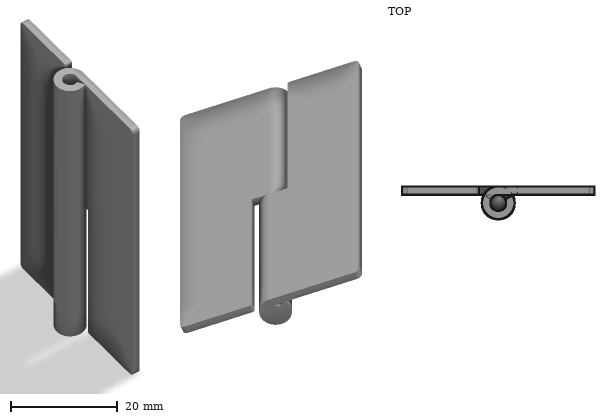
import cadquery as cq
import math

hinge_height = 65.0
hinge_width = 36.0
knuckle_diameter = 6.2
pin_diameter = 3.0
knuckle_gap = 0.5
outer_corner_radius = 1.0
inner_corner_radius = 0.4
curl_end_angle = 28.0
pin_top_clearance = 6.5

half_height = hinge_height / 2
half_width = hinge_width / 2
knuckle_radius = knuckle_diameter / 2
pin_radius = pin_diameter / 2
leaf_thickness = knuckle_radius - pin_radius
plate_inner_x = knuckle_radius + knuckle_gap


def polar(radius, angle):
    """Point at the given radius and angle in degrees."""
    return radius * math.cos(math.radians(angle)), radius * math.sin(math.radians(angle))


def make_curl():
    """Upper knuckle: a strip leaving the plate and rolled around the pin."""
    middle_angle = (90 + curl_end_angle + 360) / 2
    return (
        cq.Workplane("XY")
        .moveTo(plate_inner_x, knuckle_radius)
        .lineTo(0, knuckle_radius)
        .threePointArc(polar(knuckle_radius, middle_angle), polar(knuckle_radius, curl_end_angle))
        .lineTo(*polar(pin_radius, curl_end_angle))
        .threePointArc(polar(pin_radius, middle_angle), (0, pin_radius))
        .lineTo(plate_inner_x, pin_radius)
        .close()
        .extrude(half_height)
    )


def make_plate():
    """Full-height flat plate on the +X side, rounded at its three free corners."""
    plate = cq.Workplane("XY").box(
        half_width - plate_inner_x, leaf_thickness, hinge_height, centered=(False, False, True)
    ).translate((plate_inner_x, pin_radius, 0))
    plate = plate.edges("|Y and >X").fillet(outer_corner_radius)
    return plate.edges("|Y and <X and <Z").fillet(inner_corner_radius)


def make_leaf():
    """Leaf on the +X side, with its knuckle in the upper half."""
    return make_plate().union(make_curl())


def make_pin():
    """Round pin, flush with the bottom of the hinge and domed at its top end."""
    dome_base = half_height - pin_top_clearance - pin_radius
    return (
        cq.Workplane("XZ")
        .moveTo(0, -half_height)
        .lineTo(pin_radius, -half_height)
        .lineTo(pin_radius, dome_base)
        .threePointArc(
            (pin_radius * math.cos(math.pi / 4), dome_base + pin_radius * math.sin(math.pi / 4)),
            (0, dome_base + pin_radius),
        )
        .close()
        .revolve(360, (0, 0), (0, 1))
    )


leaves = [make_leaf().rotate((0, 0, 0), (0, 1, 0), turn) for turn in (0, 180)]
pin = make_pin()

result = cq.Compound.makeCompound([*[leaf.val() for leaf in leaves], pin.val()])